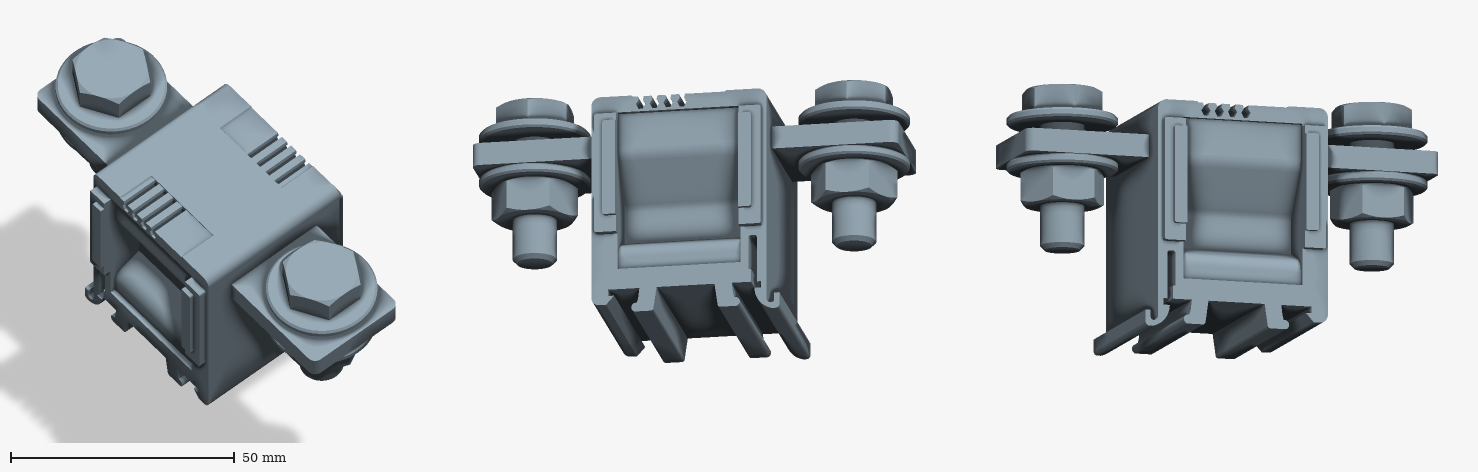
import cadquery as cq
import math

OVERALL_LENGTH = 97.6

HOUSING_HALF_X = 19.9
HOUSING_HALF_Y = 19.2
HOUSING_TOP = 51.7
HOUSING_FLOOR = 6.4
HOUSING_TOP_RADIUS = 2.05
CATCH_Z = 5.0

SLOT_LEFT = -17.8
SLOT_RIGHT = -15.8
SLOT_STEP_X = -16.4
SLOT_STEP_Z = 9.5
SLOT_TOP = 17.4
SLOT_CORNER_RADIUS = 0.6

HOOK_LEFT = -22.8
HOOK_TOP = 3.6
HOOK_LIP = 1.2
HOOK_CORNER_RADIUS = 0.9
HOOK_GROOVE_BOTTOM = 1.4
HOOK_GROOVE_LIP_RADIUS = 0.7
HOOK_TAB_WIDTH = 1.3

FOOT_BOTTOM = 1.0
LEFT_FOOT_X = -8.1
RIGHT_FOOT_X = 5.1

WINDOW_HALF_X = 14.0
WINDOW_BOTTOM = 11.2
WINDOW_TOP = 47.9
WINDOW_LEDGE = 1.3
WINDOW_DEPTH = 8.4
SILL_RADIUS = 3.6
ROOF_INNER_RADIUS = 2.4
ROOF_OUTER_RADIUS = 4.4

FLANGE_OUTER_X = 18.9
FLANGE_BOTTOM, FLANGE_TOP = 19.5, 47.3
FLANGE_HALF_Y = 21.1
RAIL_OUTER_X = 16.9
RAIL_BOTTOM, RAIL_TOP = 23.3, 45.4
RAIL_HALF_Y = 22.2
FLANGE_CORNER_RADIUS = 0.5

RECESS_HALF_X = 10.7
RECESS_LENGTH = 9.2
RECESS_DEPTH = 0.3
GROOVE_FIRST_X = -8.7
GROOVE_PITCH = 3.1
GROOVE_COUNT = 4
GROOVE_NECK_Z = 50.6
GROOVE_WIDEST_Z = 49.7
GROOVE_BOTTOM_Z = 48.5
GROOVE_MOUTH_HALF = 0.7
GROOVE_NECK_HALF = 0.5
GROOVE_WIDEST_HALF = 1.1

BAR_HALF_X = 48.4
BAR_WIDTH = 25.0
BAR_BOTTOM, BAR_TOP = 39.6, 44.8
BAR_CORNER_RADIUS = 2.0

WASHER_DIAMETER = 25.0
WASHER_THICKNESS = 2.05
WASHER_EDGE = 0.5
BOLT_X = OVERALL_LENGTH / 2 - WASHER_DIAMETER / 2
BOLT_DIAMETER = 10.0
BOLT_TIP_Z = 19.7
BOLT_TIP_CHAMFER = 1.0
BOLT_TOP = 56.1
HEAD_HEIGHT = 6.1
HEAD_ACROSS_FLATS = 16.0
NUT_HEIGHT = 7.8
NUT_ACROSS_FLATS = 17.0
HEX_CHAMFER_ANGLE = 30


def box(x0, x1, y0, y1, z0, z1):
    return cq.Workplane("XY").box(x1 - x0, y1 - y0, z1 - z0, centered=False).translate((x0, y0, z0))


def extrude_along_y(sketch, half_length):
    """Extrude an XZ outline symmetrically about Y = 0."""
    return sketch.close().extrude(half_length, both=True)


def housing_block():
    block = box(-HOUSING_HALF_X, HOUSING_HALF_X, -HOUSING_HALF_Y, HOUSING_HALF_Y, HOUSING_FLOOR, HOUSING_TOP)
    block = block.edges("|Y and >Z").fillet(HOUSING_TOP_RADIUS)
    upper_slot = box(SLOT_LEFT, SLOT_RIGHT, -HOUSING_HALF_Y, HOUSING_HALF_Y, SLOT_STEP_Z, SLOT_TOP)
    upper_slot = upper_slot.edges("|Y and >Z").fillet(SLOT_CORNER_RADIUS)
    lower_slot = box(SLOT_LEFT, SLOT_STEP_X, -HOUSING_HALF_Y, HOUSING_HALF_Y, HOUSING_FLOOR, SLOT_STEP_Z)
    return block.cut(upper_slot).cut(lower_slot)


def release_hook():
    """J-shaped hook below the left wall, with a tab bridging the middle of its groove."""
    wall = -HOUSING_HALF_X
    notch_x = -18.6
    nose_x = -17.2
    nose_arc_mid = (-18.3, 1.9)
    nose_arc_end_x = -21.2
    lip_inner = HOOK_LEFT + HOOK_LIP
    lip_radius = HOOK_GROOVE_LIP_RADIUS
    groove_low_x = lip_inner + lip_radius
    wall_radius = wall - groove_low_x
    arc_inset = 1 - math.sqrt(0.5)
    corner_mid = HOOK_CORNER_RADIUS * arc_inset
    lip_arc_mid = (lip_inner + lip_radius * arc_inset, HOOK_GROOVE_BOTTOM + lip_radius * arc_inset)
    wall_arc_mid = (wall - wall_radius * arc_inset, HOOK_GROOVE_BOTTOM + wall_radius * arc_inset)
    outline = (
        cq.Workplane("XZ")
        .moveTo(wall, HOUSING_FLOOR)
        .lineTo(notch_x, HOUSING_FLOOR)
        .lineTo(notch_x, CATCH_Z)
        .lineTo(nose_x, CATCH_Z)
        .threePointArc(nose_arc_mid, (nose_arc_end_x, 0))
        .lineTo(HOOK_LEFT + HOOK_CORNER_RADIUS, 0)
        .threePointArc((HOOK_LEFT + corner_mid, corner_mid), (HOOK_LEFT, HOOK_CORNER_RADIUS))
        .lineTo(HOOK_LEFT, HOOK_TOP)
        .lineTo(lip_inner, HOOK_TOP)
        .lineTo(lip_inner, HOOK_GROOVE_BOTTOM + lip_radius)
        .threePointArc(lip_arc_mid, (groove_low_x, HOOK_GROOVE_BOTTOM))
        .threePointArc(wall_arc_mid, (wall, HOOK_GROOVE_BOTTOM + wall_radius))
    )
    hook = extrude_along_y(outline, HOUSING_HALF_Y)
    tab_half = HOOK_TAB_WIDTH / 2
    tab = box(lip_inner, wall, -tab_half, tab_half, HOOK_GROOVE_BOTTOM, HOOK_TOP)
    return hook.union(tab)


def fixed_catch():
    """Rounded catch below the right wall."""
    wall = HOUSING_HALF_X
    notch_x, nose_x = 16.1, 14.7
    bottom, bottom_left, bottom_right = 2.9, 16.6, 18.0
    corner_mid, corner_top = (19.3, 3.4), 4.7
    outline = (
        cq.Workplane("XZ")
        .moveTo(wall, HOUSING_FLOOR)
        .lineTo(notch_x, HOUSING_FLOOR)
        .lineTo(notch_x, CATCH_Z)
        .lineTo(nose_x, CATCH_Z)
        .lineTo(bottom_left, bottom)
        .lineTo(bottom_right, bottom)
        .threePointArc(corner_mid, (wall, corner_top))
    )
    return extrude_along_y(outline, HOUSING_HALF_Y)


def rail_foot(inner_x, direction):
    """Foot with a rounded toe that points in the given X direction."""

    def at(reach, z):
        return (inner_x + direction * reach, z)

    heel_reach, heel_mid, heel_top = 1.4, at(0.9, 1.2), at(0.7, 1.7)
    toe_reach, toe_tip, toe_top = 5.0, at(5.8, 2.05), 3.0
    instep, ankle, shin_reach = at(4.5, toe_top), at(4.2, 4.1), 3.9
    outline = (
        cq.Workplane("XZ")
        .moveTo(*at(0, HOUSING_FLOOR))
        .lineTo(*heel_top)
        .threePointArc(heel_mid, at(heel_reach, FOOT_BOTTOM))
        .lineTo(*at(toe_reach, FOOT_BOTTOM))
        .threePointArc(toe_tip, at(toe_reach, toe_top))
        .lineTo(*instep)
        .lineTo(*ankle)
        .lineTo(*at(shin_reach, HOUSING_FLOOR))
    )
    return extrude_along_y(outline, HOUSING_HALF_Y)


def front_window():
    """Pocket in the front face: flat rims with a trough between a sloped roof and a rounded sill."""
    rim_y = -HOUSING_HALF_Y + WINDOW_LEDGE
    trough_y = -HOUSING_HALF_Y + WINDOW_DEPTH
    sill_corner_z, sill_inner_z = 16.9, 19.7
    roof_inner_z, roof_corner_z = 28.0, 38.5
    pocket = (
        cq.Workplane("YZ")
        .moveTo(-HOUSING_HALF_Y, WINDOW_BOTTOM)
        .lineTo(rim_y, WINDOW_BOTTOM)
        .lineTo(rim_y, sill_corner_z)
        .lineTo(trough_y, sill_inner_z)
        .lineTo(trough_y, roof_inner_z)
        .lineTo(rim_y, roof_corner_z)
        .lineTo(rim_y, WINDOW_TOP)
        .lineTo(-HOUSING_HALF_Y, WINDOW_TOP)
        .close()
        .extrude(WINDOW_HALF_X, both=True)
    )
    sill = (rim_y, sill_corner_z, SILL_RADIUS)
    roof_inner = (trough_y, roof_inner_z, ROOF_INNER_RADIUS)
    roof_outer = (rim_y, roof_corner_z, ROOF_OUTER_RADIUS)
    for y, z, radius in (sill, roof_inner, roof_outer):
        pocket = pocket.edges(cq.NearestToPointSelector((0, y, z))).fillet(radius)
    return pocket


def rounded_bar(x0, x1, half_y, z0, z1):
    """Upright bar spanning the housing, with rounded corners on its outer side at x0."""
    bar = box(min(x0, x1), max(x0, x1), -half_y, half_y, z0, z1)
    return bar.edges("|Y").edges("<X" if x0 < x1 else ">X").fillet(FLANGE_CORNER_RADIUS)


def side_flanges(side):
    """Stepped flange beside the windows, standing out from the front and back faces."""
    inner_x = side * WINDOW_HALF_X
    flange = rounded_bar(side * FLANGE_OUTER_X, inner_x, FLANGE_HALF_Y, FLANGE_BOTTOM, FLANGE_TOP)
    rail = rounded_bar(side * RAIL_OUTER_X, inner_x, RAIL_HALF_Y, RAIL_BOTTOM, RAIL_TOP)
    core = box(-HOUSING_HALF_X, HOUSING_HALF_X, -HOUSING_HALF_Y, HOUSING_HALF_Y, 0, HOUSING_TOP)
    return flange.union(rail).cut(core)


def marker_recess():
    """Shallow recess in the front half of the top face, with keyed grooves in its floor."""
    floor_z = HOUSING_TOP - RECESS_DEPTH
    floor_half = RECESS_HALF_X - RECESS_DEPTH
    plane = cq.Workplane("XZ", origin=(0, -HOUSING_HALF_Y, 0))
    recess = (
        plane.moveTo(-RECESS_HALF_X, HOUSING_TOP)
        .lineTo(-floor_half, floor_z)
        .lineTo(floor_half, floor_z)
        .lineTo(RECESS_HALF_X, HOUSING_TOP)
        .close()
        .extrude(-RECESS_LENGTH)
    )
    right_side = [
        (GROOVE_MOUTH_HALF, HOUSING_TOP),
        (GROOVE_MOUTH_HALF, floor_z),
        (GROOVE_NECK_HALF, GROOVE_NECK_Z),
        (GROOVE_WIDEST_HALF, GROOVE_WIDEST_Z),
        (GROOVE_NECK_HALF, GROOVE_BOTTOM_Z),
    ]
    left_side = [(-x, z) for x, z in reversed(right_side)]
    groove = plane.polyline(right_side + left_side).close().extrude(-RECESS_LENGTH)
    for i in range(GROOVE_COUNT):
        recess = recess.union(groove.translate((GROOVE_FIRST_X + i * GROOVE_PITCH, 0, 0)))
    return recess


def conductor_bar():
    bar = box(-BAR_HALF_X, BAR_HALF_X, -BAR_WIDTH / 2, BAR_WIDTH / 2, BAR_BOTTOM, BAR_TOP)
    return bar.edges("|Z").fillet(BAR_CORNER_RADIUS)


def disc(diameter, z0, z1):
    return cq.Workplane("XY", origin=(0, 0, z0)).circle(diameter / 2).extrude(z1 - z0)


def hexagon(across_flats, z0, z1, chamfered_ends):
    """Hexagonal prism with corners on the X axis, its chosen ends turned to a cone."""
    corner_radius = across_flats / math.sqrt(3)
    prism = cq.Workplane("XY", origin=(0, 0, z0)).polygon(6, 2 * corner_radius).extrude(z1 - z0)
    inset = corner_radius - across_flats / 2
    drop = inset * math.tan(math.radians(HEX_CHAMFER_ANGLE))
    turned = disc(2 * corner_radius, z0, z1)
    for end in chamfered_ends:
        profile = [(across_flats / 2, 0), (corner_radius, 0), (corner_radius, drop)]
        base = z0
        if end == "top":
            profile = [(r, -z) for r, z in profile]
            base = z1
        ring = cq.Workplane("XZ").polyline(profile).close().revolve(360, (0, 0, 0), (0, 1, 0))
        turned = turned.cut(ring.translate((0, 0, base)))
    return prism.intersect(turned)


def bolt_assembly():
    """Bolt, nut and two washers on the Z axis."""
    head_bottom = BOLT_TOP - HEAD_HEIGHT
    nut_top = BAR_BOTTOM - WASHER_THICKNESS
    shank = disc(BOLT_DIAMETER, BOLT_TIP_Z, head_bottom).faces("<Z").chamfer(BOLT_TIP_CHAMFER)
    head = hexagon(HEAD_ACROSS_FLATS, head_bottom, BOLT_TOP, ["top"])
    head = head.rotate((0, 0, 0), (0, 0, 1), 90)
    nut = hexagon(NUT_ACROSS_FLATS, nut_top - NUT_HEIGHT, nut_top, ["top", "bottom"])
    bolt = shank.union(head).union(nut)
    for washer_top in (head_bottom, BAR_BOTTOM):
        washer = disc(WASHER_DIAMETER, washer_top - WASHER_THICKNESS, washer_top)
        bolt = bolt.union(washer.edges().chamfer(WASHER_EDGE))
    return bolt


result = housing_block()
result = result.union(release_hook()).union(fixed_catch())
result = result.union(rail_foot(LEFT_FOOT_X, -1)).union(rail_foot(RIGHT_FOOT_X, 1))

for pocket in (front_window(), marker_recess()):
    result = result.cut(pocket).cut(pocket.rotate((0, 0, 0), (0, 0, 1), 180))

result = result.union(conductor_bar())
for side in (-1, 1):
    result = result.union(side_flanges(side))
    result = result.union(bolt_assembly().translate((side * BOLT_X, 0, 0)))